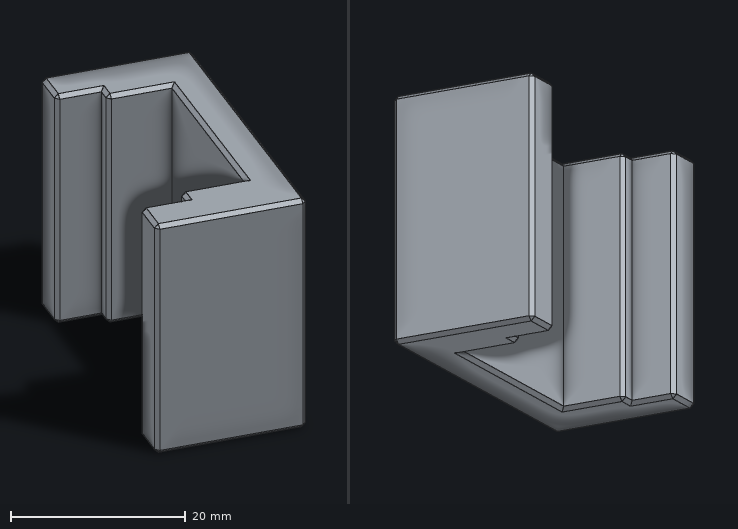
import cadquery as cq

width = 38.0
depth = 18.5
height = 30.0

back_wall = 5.0
channel_width = 24.0
mouth_width = 28.0
mouth_depth = 5.6
chamfer = 0.5

front_y = -depth / 2
step_y = front_y + mouth_depth
channel_back_y = depth / 2 - back_wall
tolerance = 0.05


def centred_block(block_width, block_front, block_back):
    """Full-height block, centred on X and Z, between two Y positions."""
    return (
        cq.Workplane("XY")
        .box(block_width, block_back - block_front, height)
        .translate((0, (block_front + block_back) / 2, 0))
    )


def edges_at(body, half_span, y):
    """The mirrored pair of vertical edges at X = +/-half_span."""
    pair = None
    for x in (-half_span, half_span):
        selector = cq.selectors.BoxSelector(
            (x - tolerance, y - tolerance, -tolerance),
            (x + tolerance, y + tolerance, tolerance),
        )
        edge = body.edges("|Z").edges(selector)
        pair = edge if pair is None else pair.add(edge)
    return pair


body = centred_block(width, front_y, depth / 2)
body = body.cut(centred_block(channel_width, front_y, channel_back_y))
body = body.cut(centred_block(mouth_width, front_y, step_y))

inside_corners = edges_at(body, channel_width / 2, channel_back_y)
inside_corners = inside_corners.add(edges_at(body, mouth_width / 2, step_y))
outside_edges = body.edges().newObject(
    [
        edge
        for edge in body.edges().vals()
        if not any(edge.isSame(corner) for corner in inside_corners.vals())
    ]
)
result = outside_edges.chamfer(chamfer)